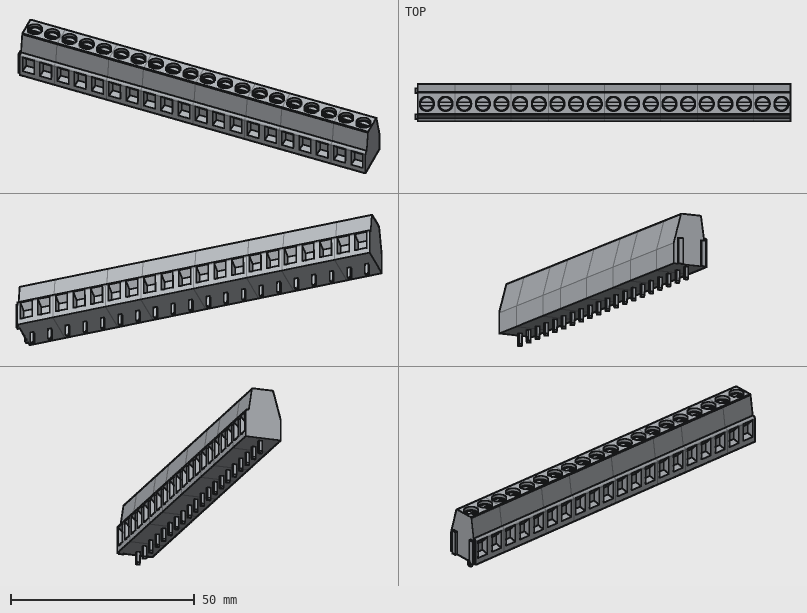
import cadquery as cq


total_length = 102.2
housing_depth = 10.2
housing_height = 14.1
total_height = 17.6

poles_per_module = [2, 3, 2, 3, 3, 2, 3, 2]
rib_projection = 0.6
housing_length = total_length - rib_projection
pole_count = sum(poles_per_module)
pole_pitch = housing_length / pole_count
end_x = -total_length / 2
housing_start_x = end_x + rib_projection
pole_positions = [housing_start_x + (i + 0.5) * pole_pitch for i in range(pole_count)]

front_y = -housing_depth / 2
back_y = housing_depth / 2
top_front_y = -3.3
top_back_y = 2.9
back_wall_height = 5.8
lip_height = 7.9
lip_inner_y = -4.2
lip_radius = 0.7
top_chamfer = 0.2

rib_width = 1.3
rib_height = 7.2
rib_centers_y = [-3.8, 3.3]

entry_bottom = 1.8
entry_top = lip_height - lip_radius
entry_width = 3.4
entry_depth = 1.5
entry_inner_bottom = 2.7
entry_inner_top = 5.3
entry_inner_width = 2.5

screw_y = -0.3
well_diameter = 4.0
well_depth = 1.0
screw_diameter = 3.6
screw_drop = 0.2
slot_width = 0.9
slot_depth = 0.6

pin_width = 0.9
pin_length = total_height - housing_height
pin_tip_length = 0.5
pin_tip_inset = 0.2


def make_module(start_x, length):
    """Extrude the housing profile along X over one module, then soften its lip and top edges."""
    middle_x = start_x + length / 2
    return (
        cq.Workplane("YZ", origin=(start_x, 0, 0))
        .moveTo(front_y, 0)
        .lineTo(back_y, 0)
        .lineTo(back_y, back_wall_height)
        .lineTo(top_back_y, housing_height)
        .lineTo(top_front_y, housing_height)
        .lineTo(lip_inner_y, lip_height)
        .lineTo(front_y, lip_height)
        .close()
        .extrude(length)
        .edges(cq.NearestToPointSelector((middle_x, front_y, lip_height)))
        .fillet(lip_radius)
        .faces(">Z")
        .edges("|X")
        .chamfer(top_chamfer)
    )


def make_housing():
    """Join the modules end to end, keeping the joint lines between them."""
    housing = None
    start_x = housing_start_x
    for poles in poles_per_module:
        length = poles * pole_pitch
        module = make_module(start_x, length)
        housing = module if housing is None else housing.union(module, clean=False)
        start_x += length
    return housing


def make_rib(center_y):
    """Upright rib standing out from the end wall."""
    start = cq.Workplane("XY", origin=(end_x, center_y, 0))
    return start.box(rib_projection, rib_width, rib_height, centered=(False, True, False))


def make_wire_entry(x):
    """Funnel that narrows from the front wall to a flat back."""
    mouth_center = (entry_bottom + entry_top) / 2
    inner_center = (entry_inner_bottom + entry_inner_top) / 2
    return (
        cq.Workplane("XZ", origin=(x, front_y, 0))
        .center(0, mouth_center)
        .rect(entry_width, entry_top - entry_bottom)
        .workplane(offset=-entry_depth)
        .center(0, inner_center - mouth_center)
        .rect(entry_inner_width, entry_inner_top - entry_inner_bottom)
        .loft(ruled=True)
    )


def make_screw_well(x):
    """Round well that steps down to the head of the slotted screw."""
    step = cq.Workplane("XY", origin=(x, screw_y, housing_height - well_depth))
    well = step.circle(well_diameter / 2).extrude(well_depth)
    head_recess = step.circle(screw_diameter / 2).extrude(-screw_drop)
    slot = step.rect(screw_diameter, slot_width).extrude(-screw_drop - slot_depth)
    slot = slot.intersect(step.circle(screw_diameter / 2).extrude(-screw_drop - slot_depth))
    return well.union(head_recess).union(slot)


def make_pin(x):
    """Square pin whose tip narrows along X."""
    half = pin_width / 2
    return (
        cq.Workplane("XZ", origin=(x, half, 0))
        .polyline(
            [
                (-half, 0),
                (-half, pin_tip_length - pin_length),
                (pin_tip_inset - half, -pin_length),
                (half - pin_tip_inset, -pin_length),
                (half, pin_tip_length - pin_length),
                (half, 0),
            ]
        )
        .close()
        .extrude(pin_width)
    )


result = make_housing()
for rib_y in rib_centers_y:
    result = result.union(make_rib(rib_y), clean=False)
for pole_x in pole_positions:
    result = result.cut(make_wire_entry(pole_x), clean=False)
    result = result.cut(make_screw_well(pole_x), clean=False)
    result = result.union(make_pin(pole_x), clean=False)